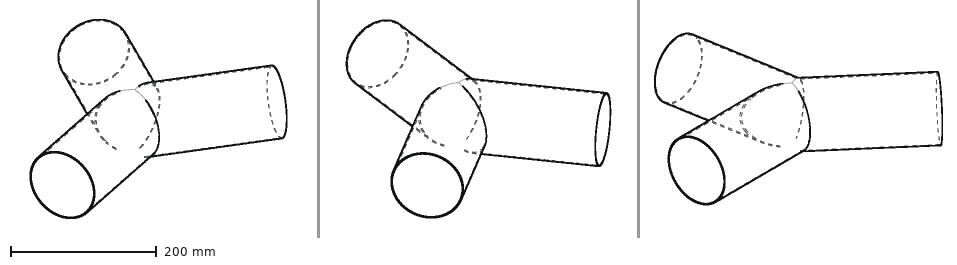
import cadquery as cq
import math

OUTER_DIAMETER = 101.6
INNER_DIAMETER = 98.3
TUBE_LENGTH = 203.2

STEM_ANGLE = -90
BRANCH_ANGLES = (45, 135)


def cylinder(diameter, angle):
    """Solid cylinder from the origin along an axis in the XY plane."""
    direction = cq.Vector(math.cos(math.radians(angle)), math.sin(math.radians(angle)), 0)
    return cq.Solid.makeCylinder(diameter / 2, TUBE_LENGTH, cq.Vector(0, 0, 0), direction)


def junction(diameter):
    """Stem and branches of one diameter, merged into a single solid."""
    body = cq.Workplane(obj=cylinder(diameter, STEM_ANGLE))
    for angle in BRANCH_ANGLES:
        body = body.union(cq.Workplane(obj=cylinder(diameter, angle)))
    return body


result = junction(OUTER_DIAMETER).cut(junction(INNER_DIAMETER))